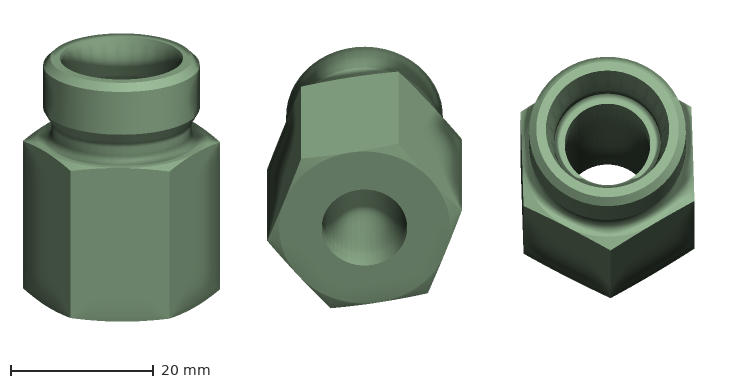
import cadquery as cq
import math

total_height = 35.0
hex_height = 23.0
hex_across_flats = 24.0
hex_chamfer_angle = 15.0

spigot_diameter = 22.0
spigot_chamfer = 1.0
spigot_straight_end = 7.4
neck_diameter = 19.7
neck_taper_angle = 30.0
neck_fillet = 1.0

through_diameter = 12.0
socket_diameter = 15.0
socket_depth = 7.0
mouth_diameter = 17.3
mouth_half_angle = 12.0

spigot_radius = spigot_diameter / 2
neck_radius = neck_diameter / 2
hex_sides = 6
hex_flat_radius = hex_across_flats / 2
hex_corner_radius = hex_flat_radius / math.cos(math.pi / hex_sides)
envelope_clearance = 1.0


def make_hexagon():
    """Hexagonal body, flats facing +X and -X, corners chamfered at both ends."""
    prism = (
        cq.Workplane("XY")
        .polygon(hex_sides, 2 * hex_corner_radius)
        .extrude(hex_height)
        .rotate((0, 0, 0), (0, 0, 1), 90)
    )
    envelope_radius = hex_corner_radius + envelope_clearance
    drop = (envelope_radius - hex_flat_radius) * math.tan(math.radians(hex_chamfer_angle))
    envelope = (
        cq.Workplane("XZ")
        .moveTo(0, 0)
        .lineTo(hex_flat_radius, 0)
        .lineTo(envelope_radius, drop)
        .lineTo(envelope_radius, hex_height - drop)
        .lineTo(hex_flat_radius, hex_height)
        .lineTo(0, hex_height)
        .close()
        .revolve(360, (0, 0, 0), (0, 1, 0))
    )
    return prism.intersect(envelope)


def make_spigot():
    """Turned spigot with a top chamfer and a filleted neck above the hexagon."""
    taper = math.radians(neck_taper_angle)
    taper_start = total_height - spigot_straight_end
    taper_end = taper_start - (spigot_radius - neck_radius) / math.tan(taper)
    tangent = neck_fillet * math.tan(taper / 2)
    fillet_top = (neck_radius + tangent * math.sin(taper), taper_end + tangent * math.cos(taper))
    fillet_bottom = (neck_radius, taper_end - tangent)
    fillet_middle = (
        neck_radius + neck_fillet * (1 - math.cos(taper / 2)),
        fillet_bottom[1] + neck_fillet * math.sin(taper / 2),
    )
    root_offset = neck_fillet * (1 - math.cos(math.radians(45)))
    root_middle = (neck_radius + root_offset, hex_height + root_offset)
    return (
        cq.Workplane("XZ")
        .moveTo(0, hex_height)
        .lineTo(neck_radius + neck_fillet, hex_height)
        .threePointArc(root_middle, (neck_radius, hex_height + neck_fillet))
        .lineTo(*fillet_bottom)
        .threePointArc(fillet_middle, fillet_top)
        .lineTo(spigot_radius, taper_start)
        .lineTo(spigot_radius, total_height - spigot_chamfer)
        .lineTo(spigot_radius - spigot_chamfer, total_height)
        .lineTo(0, total_height)
        .close()
        .revolve(360, (0, 0, 0), (0, 1, 0))
    )


def make_bore():
    """Through hole opening into a tube socket with a conical mouth at the top."""
    socket_radius = socket_diameter / 2
    mouth_radius = mouth_diameter / 2
    mouth_depth = (mouth_radius - socket_radius) / math.tan(math.radians(mouth_half_angle))
    socket_floor = total_height - socket_depth
    return (
        cq.Workplane("XZ")
        .moveTo(0, 0)
        .lineTo(through_diameter / 2, 0)
        .lineTo(through_diameter / 2, socket_floor)
        .lineTo(socket_radius, socket_floor)
        .lineTo(socket_radius, total_height - mouth_depth)
        .lineTo(mouth_radius, total_height)
        .lineTo(0, total_height)
        .close()
        .revolve(360, (0, 0, 0), (0, 1, 0))
    )


result = make_hexagon().union(make_spigot()).cut(make_bore())